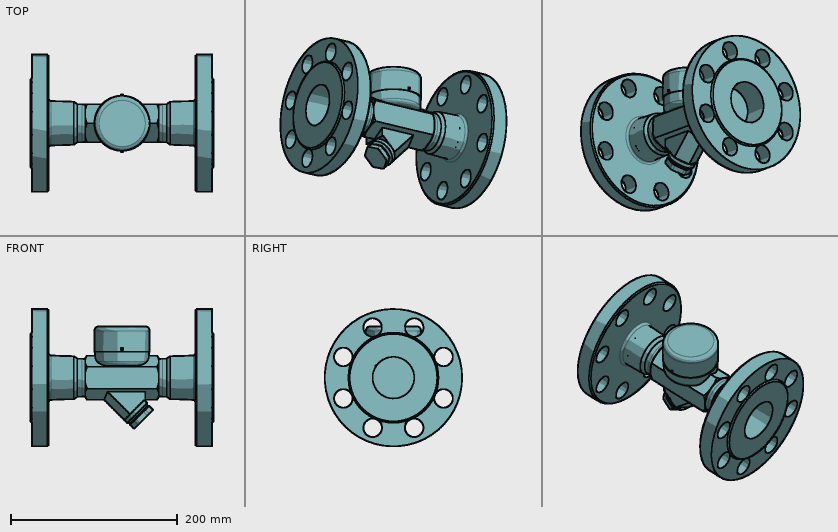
import cadquery as cq
import math

overall_length = 220.0

flange_diameter = 165.0
flange_thickness = 20.0
flange_chamfer = 1.8
face_height = 2.0
face_base_diameter = 108.2
face_diameter = 104.7
bolt_count = 8
bolt_hole_diameter = 22.0
bolt_circle_diameter = 130.0
bore_diameter = 50.0
bore_depth = 31.0

neck_root_fillet = 2.9
neck_root_radius = 26.8
neck_tip_radius = 26.0
neck_tip_x = 57.9
collar_diameter = 46.0
collar_start_x = 53.5
collar_end_x = 48.2
collar_inner_radius = 22.5

body_length = 88.0
body_width = 46.0
body_end_radius = 23.8
body_end_chamfer = 2.2

cover_diameter = 66.5
cover_top_z = 61.5
cover_top_fillet = 5.5
seat_diameter = 65.0
seat_top_z = 31.2
seat_bottom_z = 14.0
seat_fillet = 5.7
knob_diameter = 2.9
knob_z = 34.3

branch_angle = 45.0
branch_offset = 17.0
branch_width = 34.0
branch_end = 37.8
branch_web_x = 27.7
boss_diameter = branch_width
boss_end = 45.8
boss_chamfer = 2.9
plug_width = 29.0
plug_start = 46.6
plug_end = 53.7
plug_edge_fillet = 3.7

half_length = overall_length / 2
flange_front_x = half_length - face_height
flange_back_x = flange_front_x - flange_thickness
body_end_x = body_length / 2
body_corner_radius = body_width / math.sqrt(3)
boss_radius = boss_diameter / 2


def hexagon(plane, width):
    """Hexagon of the given width across flats, corners on the local X axis."""
    return cq.Workplane(plane).polygon(6, width * 2 / math.sqrt(3))


def pipe_end():
    """Flange, raised face, weld neck and collar on the -X side."""
    flange_radius = flange_diameter / 2
    fillet_x = flange_back_x - neck_root_fillet
    profile = (
        cq.Workplane("XY")
        .moveTo(-half_length, 0)
        .lineTo(-half_length, face_diameter / 2)
        .lineTo(-flange_front_x, face_base_diameter / 2)
        .lineTo(-flange_front_x, flange_radius)
        .lineTo(-flange_back_x - flange_chamfer, flange_radius)
        .lineTo(-flange_back_x, flange_radius - flange_chamfer)
        .lineTo(-flange_back_x, neck_root_radius + neck_root_fillet)
        .radiusArc((-fillet_x, neck_root_radius), -neck_root_fillet)
        .lineTo(-neck_tip_x, neck_tip_radius)
        .lineTo(-collar_start_x, collar_diameter / 2)
        .lineTo(-collar_end_x, collar_diameter / 2)
        .lineTo(-body_end_x, collar_inner_radius)
        .lineTo(-body_end_x, 0)
        .close()
    )
    end = profile.revolve(360, (0, 0, 0), (1, 0, 0))
    outer_face = cq.Workplane("YZ", origin=(-half_length, 0, 0))
    bolt_holes = outer_face.polarArray(
        bolt_circle_diameter / 2, 180 / bolt_count, 360, bolt_count
    ).circle(bolt_hole_diameter / 2).extrude(face_height + flange_thickness)
    bore = outer_face.circle(bore_diameter / 2).extrude(bore_depth)
    return end.cut(bolt_holes).cut(bore)


def body():
    """Hexagonal bar with turned, bevelled ends."""
    bar = hexagon(cq.Plane((-body_end_x, 0, 0), (0, 0, 1), (1, 0, 0)), body_width).extrude(body_length)
    turned = (
        cq.Workplane("XY")
        .moveTo(-body_end_x, 0)
        .lineTo(-body_end_x, body_end_radius)
        .lineTo(-body_end_x + body_end_chamfer, body_corner_radius)
        .lineTo(body_end_x - body_end_chamfer, body_corner_radius)
        .lineTo(body_end_x, body_end_radius)
        .lineTo(body_end_x, 0)
        .close()
        .revolve(360, (0, 0, 0), (1, 0, 0))
    )
    return bar.intersect(turned)


def cover():
    """Round seat and cap, with a small round knob on each side."""
    seat = (
        cq.Workplane("XY", origin=(0, 0, seat_bottom_z))
        .circle(seat_diameter / 2)
        .extrude(seat_top_z - seat_bottom_z)
        .faces("<Z").edges().fillet(seat_fillet)
    )
    cap = (
        cq.Workplane("XY", origin=(0, 0, seat_top_z))
        .circle(cover_diameter / 2)
        .extrude(cover_top_z - seat_top_z)
        .faces(">Z").edges().fillet(cover_top_fillet)
    )
    knobs = (
        cq.Workplane("XY", origin=(0, 0, knob_z))
        .pushPoints([(0, -cover_diameter / 2), (0, cover_diameter / 2)])
        .sphere(knob_diameter / 2)
    )
    return seat.union(cap).union(knobs)


def branch_plane(distance):
    """Plane across the branch; local X points away from the body, local Y along Y."""
    turn = math.radians(branch_angle)
    along = (math.cos(turn), 0, -math.sin(turn))
    outward = (-math.sin(turn), 0, -math.cos(turn))
    origin = tuple(distance * a + branch_offset * b for a, b in zip(along, outward))
    return cq.Plane(origin, outward, along)


def branch():
    """Branch with a V-shaped underside, its web, the round boss and the hexagonal plug."""
    half_width = branch_width / 2
    shoulder = boss_radius - half_width / math.sqrt(3)
    stem = (
        cq.Workplane(branch_plane(0))
        .moveTo(-boss_radius, -half_width)
        .lineTo(shoulder, -half_width)
        .lineTo(boss_radius, 0)
        .lineTo(shoulder, half_width)
        .lineTo(-boss_radius, half_width)
        .close()
        .extrude(branch_end)
    )
    web = (
        cq.Workplane("XZ")
        .polyline([(0, 0), (branch_web_x, 0), (branch_web_x, -branch_web_x)])
        .close()
        .extrude(half_width, both=True)
    )
    boss = (
        cq.Workplane(branch_plane(branch_end))
        .circle(boss_radius)
        .extrude(boss_end - branch_end)
        .faces(cq.selectors.DirectionMinMaxSelector(cq.Vector(1, 0, -1)))
        .edges()
        .chamfer(boss_chamfer)
    )
    shank = cq.Workplane(branch_plane(0)).circle(boss_radius - boss_chamfer).extrude(plug_start)
    plug = hexagon(branch_plane(plug_start), plug_width).extrude(plug_end - plug_start)
    plug = plug.edges(cq.selectors.ParallelDirSelector(cq.Vector(1, 0, -1))).fillet(plug_edge_fillet)
    return stem.union(web).union(boss).union(shank).union(plug)


inlet = pipe_end()
outlet = inlet.mirror("YZ")
result = body().union(inlet).union(outlet).union(cover()).union(branch())